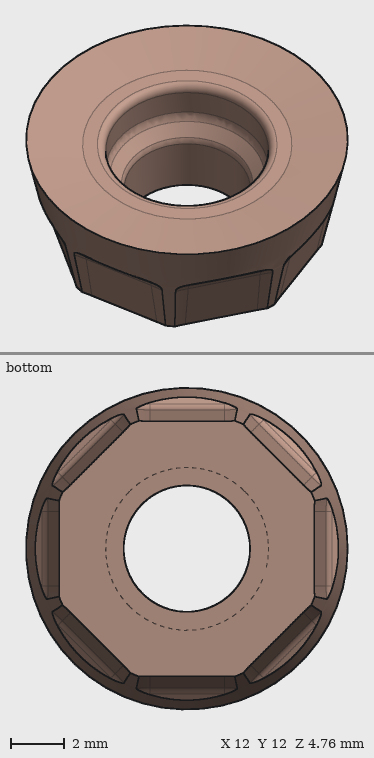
import cadquery as cq
import math

top_radius = 5.98
height = 4.76
relief_angle = 10.8
base_radius = top_radius - height * math.tan(math.radians(relief_angle))

land_radius = 3.88
land_z = height - 0.24

seat_radius = 3.02
seat_bottom_z = 2.98
bore_radius = 2.34
bore_top_z = 2.33
mouth_fillet = 0.31
seat_fillet = 0.48
bore_fillet = 0.32

flat_count = 8
flat_base_apothem = 4.73
flat_angle = 10.5
flat_half_width = 1.39
flat_side_radius = 5.98
flat_side_reach = 0.96
flat_runout_z = 2.56
runout_angle = 48.0
runout_radius = 0.72
cutter_depth = 0.54
path_overrun = 0.24
runout_length = 0.96


def make_body():
    """Conical disc with its dished top."""
    return (
        cq.Workplane("XZ")
        .lineTo(base_radius, 0)
        .lineTo(top_radius, height)
        .lineTo(land_radius, land_z)
        .lineTo(0, land_z)
        .close()
        .revolve(360, (0, 0, 0), (0, 1, 0))
    )


def cut_hole(body):
    """Cut the stepped hole and round its three circular corners."""
    hole = (
        cq.Workplane("XZ")
        .lineTo(bore_radius, 0)
        .lineTo(bore_radius, bore_top_z)
        .lineTo(seat_radius, seat_bottom_z)
        .lineTo(seat_radius, land_z)
        .lineTo(0, land_z)
        .close()
        .revolve(360, (0, 0, 0), (0, 1, 0))
    )
    body = body.cut(hole)
    corners = (
        (seat_radius, land_z, mouth_fillet),
        (seat_radius, seat_bottom_z, seat_fillet),
        (bore_radius, bore_top_z, bore_fillet),
    )
    margin = 0.01
    for radius, z, fillet in corners:
        box_size = 2 * (radius + margin)
        low = (-box_size / 2, -box_size / 2, z - margin)
        high = (box_size / 2, box_size / 2, z + margin)
        corner = cq.selectors.BoxSelector(low, high, boundingbox=True)
        body = body.edges(corner).fillet(fillet)
    return body


def make_flat_cutter():
    """Cutter for the flat facing +X: a shallow section swept up the flat and out along its run-out."""
    flat_x = math.sin(math.radians(flat_angle))
    flat_z = math.cos(math.radians(flat_angle))
    runout_x = math.sin(math.radians(runout_angle))
    runout_z = math.cos(math.radians(runout_angle))
    half_bend = math.radians(runout_angle - flat_angle) / 2
    tangent_length = runout_radius * math.tan(half_bend)

    start_x = flat_base_apothem - path_overrun * flat_x / flat_z
    corner_x = flat_base_apothem + flat_runout_z * flat_x / flat_z
    bend_start = (corner_x - tangent_length * flat_x, flat_runout_z - tangent_length * flat_z)
    bend_end = (corner_x + tangent_length * runout_x, flat_runout_z + tangent_length * runout_z)
    path = (
        cq.Workplane("XZ")
        .moveTo(start_x, -path_overrun)
        .lineTo(*bend_start)
        .tangentArcPoint(bend_end, relative=False)
        .line(runout_length * runout_x, runout_length * runout_z)
    )

    half_width = flat_half_width + flat_side_reach
    rise = flat_side_radius - math.sqrt(flat_side_radius**2 - flat_side_reach**2)
    section_plane = cq.Plane(
        origin=(start_x, 0, -path_overrun),
        xDir=(flat_z, 0, -flat_x),
        normal=(flat_x, 0, flat_z),
    )
    return (
        cq.Workplane(section_plane)
        .moveTo(0, -flat_half_width)
        .lineTo(0, flat_half_width)
        .tangentArcPoint((rise, half_width), relative=False)
        .lineTo(cutter_depth, half_width)
        .lineTo(cutter_depth, -half_width)
        .lineTo(rise, -half_width)
        .radiusArc((0, -flat_half_width), flat_side_radius)
        .close()
        .sweep(path)
    )


def cut_flats(body):
    """Cut the ring of equal flats, one facing each of the X and Y directions."""
    cutter = make_flat_cutter()
    for index in range(flat_count):
        turn = index * 360 / flat_count
        body = body.cut(cutter.rotate((0, 0, 0), (0, 0, 1), turn))
    return body


result = cut_flats(cut_hole(make_body()))